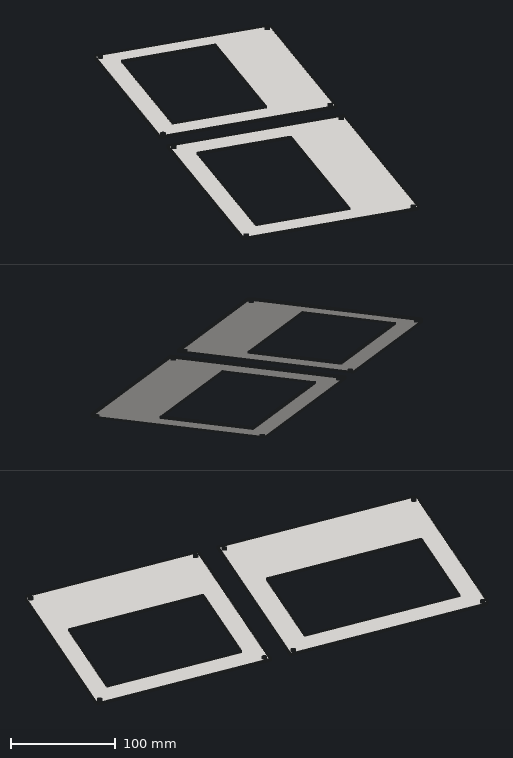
import cadquery as cq

plate_height = 180.0
plate_thickness = 1.5
corner_radius = 5.0
hole_diameter = 3.4
hole_inset = 5.0

total_width = 405.0
narrow_width = 180.0
plate_gap = 20.0
wide_width = total_width - narrow_width - plate_gap

window_height = 94.8
lower_border = 21.5
narrow_left_border = 20.0
narrow_right_border = 22.0
wide_left_border = 24.5
wide_right_border = 22.0


def plate_blank(width, rounded_side):
    """Flat plate from the origin, with both corners of one side ("<X" or ">X") rounded."""
    blank = cq.Workplane("XY").box(width, plate_height, plate_thickness, centered=False)
    return blank.faces(rounded_side).edges("|Z").fillet(corner_radius)


def window_cutter(width, left_border, right_border):
    """Rectangular opening through the plate."""
    window_width = width - left_border - right_border
    return (
        cq.Workplane("XY")
        .box(window_width, window_height, plate_thickness, centered=False)
        .translate((left_border, lower_border, 0))
    )


def corner_hole_cutters(width):
    """One screw hole near each corner of the plate."""
    hole_spacing_x = width - 2 * hole_inset
    hole_spacing_y = plate_height - 2 * hole_inset
    return (
        cq.Workplane("XY")
        .center(width / 2, plate_height / 2)
        .rect(hole_spacing_x, hole_spacing_y, forConstruction=True)
        .vertices()
        .circle(hole_diameter / 2)
        .extrude(plate_thickness)
    )


def frame_plate(width, left_border, right_border, rounded_side):
    """Window frame with a screw hole in each corner."""
    plate = plate_blank(width, rounded_side)
    plate = plate.cut(window_cutter(width, left_border, right_border))
    return plate.cut(corner_hole_cutters(width))


narrow_frame = frame_plate(narrow_width, narrow_left_border, narrow_right_border, "<X")

wide_frame_start = narrow_width + plate_gap
wide_frame = frame_plate(wide_width, wide_left_border, wide_right_border, ">X")
wide_frame = wide_frame.translate((wide_frame_start, 0, 0))

result = cq.Compound.makeCompound([narrow_frame.val(), wide_frame.val()])